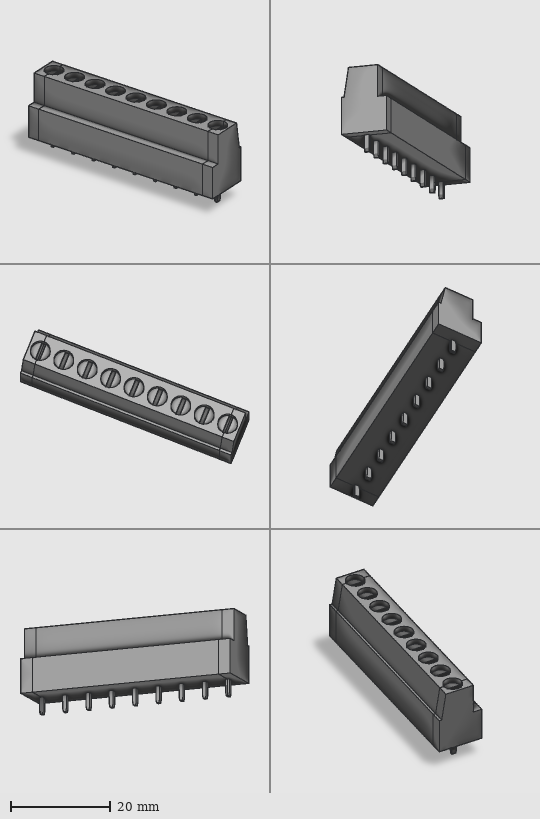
import cadquery as cq


total_length = 45.7
pole_count = 9
pole_pitch = total_length / pole_count
pole_positions = [(i - (pole_count - 1) / 2) * pole_pitch for i in range(pole_count)]

housing_depth = 9.8
housing_height = 13.8
front_step_depth = 1.9
front_step_height = 7.2
back_ledge_depth = 0.55
back_ledge_height = 7.73
top_back_inset = 1.5

screw_y = 5.3
recess_diameter = 4.0
recess_depth = 1.25
slot_width = 0.82
slot_depth = 1.0

pin_y = 5.15
pin_width = 0.82
pin_thickness = 0.95
pin_length = 3.47
pin_tip_length = 0.7
pin_tip_width = 0.5


def housing_prism(x_start, x_end):
    """Stepped housing profile extruded along X."""
    profile = [
        (0, 0),
        (housing_depth, 0),
        (housing_depth, back_ledge_height),
        (housing_depth - back_ledge_depth, back_ledge_height),
        (housing_depth - top_back_inset, housing_height),
        (front_step_depth, housing_height),
        (front_step_depth, front_step_height),
        (0, front_step_height),
    ]
    return (
        cq.Workplane("YZ", origin=(x_start, 0, 0))
        .polyline(profile)
        .close()
        .extrude(x_end - x_start)
    )


def screw_recess(x):
    """Cutting tool: round recess plus the screwdriver slot across its floor."""
    floor_z = housing_height - recess_depth
    recess = (
        cq.Workplane("XY", origin=(x, screw_y, floor_z))
        .circle(recess_diameter / 2)
        .extrude(recess_depth)
    )
    slot_bar = (
        cq.Workplane("XY", origin=(x, screw_y, floor_z))
        .rect(slot_width, recess_diameter)
        .extrude(-slot_depth)
    )
    round_limit = (
        cq.Workplane("XY", origin=(x, screw_y, floor_z))
        .circle(recess_diameter / 2)
        .extrude(-slot_depth)
    )
    return recess.union(slot_bar.intersect(round_limit))


def solder_pin(x):
    """Flat pin hanging below the housing, narrowing towards its tip."""
    taper_z = pin_tip_length - pin_length
    outline = [
        (-pin_width / 2, 0),
        (-pin_width / 2, taper_z),
        (-pin_tip_width / 2, -pin_length),
        (pin_tip_width / 2, -pin_length),
        (pin_width / 2, taper_z),
        (pin_width / 2, 0),
    ]
    return (
        cq.Workplane("XZ", origin=(x, pin_y, 0))
        .polyline(outline)
        .close()
        .extrude(pin_thickness / 2, both=True)
    )


def row_segment(x_start, x_end, poles):
    """Part of the row between two X planes; poles lying on a plane are halved by it."""
    segment_span = (
        cq.Workplane("XY", origin=(x_start, 0, -pin_length))
        .box(x_end - x_start, housing_depth, pin_length + housing_height, centered=False)
    )
    segment = housing_prism(x_start, x_end)
    for x in poles:
        segment = segment.cut(screw_recess(x))
        segment = segment.union(solder_pin(x).intersect(segment_span))
    return segment


first_pole = pole_positions[0]
last_pole = pole_positions[-1]

left_end_block = row_segment(-total_length / 2, first_pole, [first_pole])
middle_block = row_segment(first_pole, last_pole, pole_positions)
right_end_block = row_segment(last_pole, total_length / 2, [last_pole])

result = cq.Compound.makeCompound([
    left_end_block.solids().val(),
    middle_block.solids().val(),
    right_end_block.solids().val(),
])